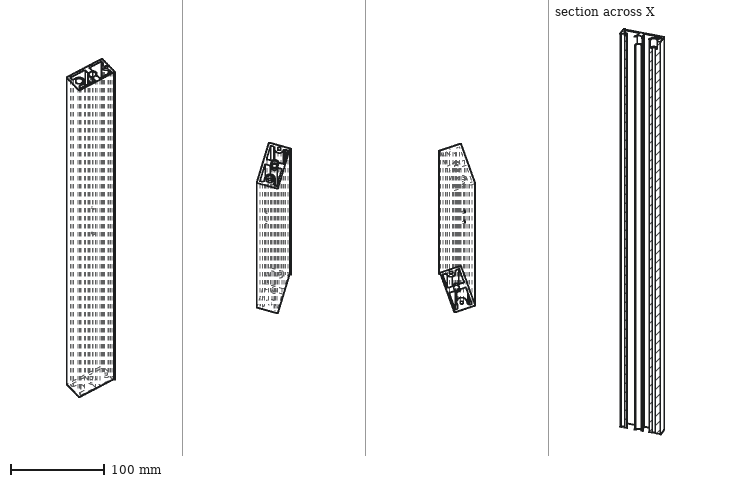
import cadquery as cq

length = 485.0
overall_width = 25.0
depth = 47.0
lip_reach = 1.5
lip_thickness = 1.5
outer_edge_radius = 0.5

side_wall = 3.0
thin_wall = 2.0
end_wall = 3.0

web_thickness = 6.0
web_y = 2.0
web_boss_diameter = 9.5
web_bore = 6.0

screw_x = 0.0
back_boss_diameter = 9.5
back_boss_y = 20.0
front_boss_diameter = 11.0
front_boss_y = -15.5
channel_bore = 3.5
counterbore_diameter = 8.0
counterbore_depth = 9.5
foot_flare = 1.5

side_hole_diameter = 2.5
side_hole_y = 10.5
side_hole_spacing = 40.3
side_hole_mid_z = -4.0

left = -overall_width / 2
right = overall_width / 2 - lip_reach
back = depth / 2
front = -depth / 2


def bar(x_min, x_max, y_min, y_max):
    """Full-length rectangular bar between the given limits."""
    return (
        cq.Workplane("XY", origin=(0, 0, -length / 2))
        .center((x_min + x_max) / 2, (y_min + y_max) / 2)
        .rect(x_max - x_min, y_max - y_min)
        .extrude(length)
    )


def rod(y, diameter):
    """Full-length cylinder on the line of the screw channels."""
    return (
        cq.Workplane("XY", origin=(screw_x, y, -length / 2))
        .circle(diameter / 2)
        .extrude(length)
    )


def hollow(y_min, y_max):
    """Chamber between the side walls."""
    return bar(left + side_wall, right - thin_wall, y_min, y_max)


def foot(boss_y, boss_diameter, wall_y, inward):
    """Straight sides from a boss to its end wall, flared where they meet it."""
    half_width = boss_diameter / 2
    flare_y = wall_y + inward * foot_flare
    buried_y = wall_y - inward * end_wall / 2
    half_outline = [
        (half_width, boss_y),
        (half_width, flare_y),
        (half_width + foot_flare, wall_y),
        (half_width + foot_flare, buried_y),
    ]
    mirrored = [(-x, y) for x, y in reversed(half_outline)]
    return (
        cq.Workplane("XY", origin=(screw_x, 0, -length / 2))
        .polyline(half_outline + mirrored)
        .close()
        .extrude(length)
    )


outer = bar(left, right, front, back)
outer = outer.union(bar(left, right + lip_reach, back - lip_thickness, back))
outer = outer.edges("|Z and (<X or >X or <Y)").fillet(outer_edge_radius)

back_wall_y = back - end_wall
front_wall_y = front + end_wall
profile = outer.cut(hollow(web_y + web_thickness / 2, back_wall_y))
profile = profile.cut(hollow(front_wall_y, web_y - web_thickness / 2))

boss_limit = bar(left, right, front, back_wall_y + end_wall / 2)
profile = profile.union(rod(web_y, web_boss_diameter))
profile = profile.union(rod(back_boss_y, back_boss_diameter).intersect(boss_limit))
profile = profile.union(foot(back_boss_y, back_boss_diameter, back_wall_y, -1))
profile = profile.union(rod(front_boss_y, front_boss_diameter))
profile = profile.union(foot(front_boss_y, front_boss_diameter, front_wall_y, 1))

profile = profile.cut(rod(web_y, web_bore))
profile = profile.cut(rod(back_boss_y, channel_bore))
profile = profile.cut(rod(front_boss_y, channel_bore))

for channel_y in (web_y, front_boss_y):
    counterbore = (
        cq.Workplane("XY", origin=(screw_x, channel_y, length / 2))
        .circle(counterbore_diameter / 2)
        .extrude(-counterbore_depth)
    )
    profile = profile.cut(counterbore)

for side in (-1, 1):
    z = side_hole_mid_z + side * side_hole_spacing / 2
    drill = (
        cq.Workplane("YZ", origin=(left, side_hole_y, z))
        .circle(side_hole_diameter / 2)
        .extrude(side_wall)
    )
    profile = profile.cut(drill)

result = profile